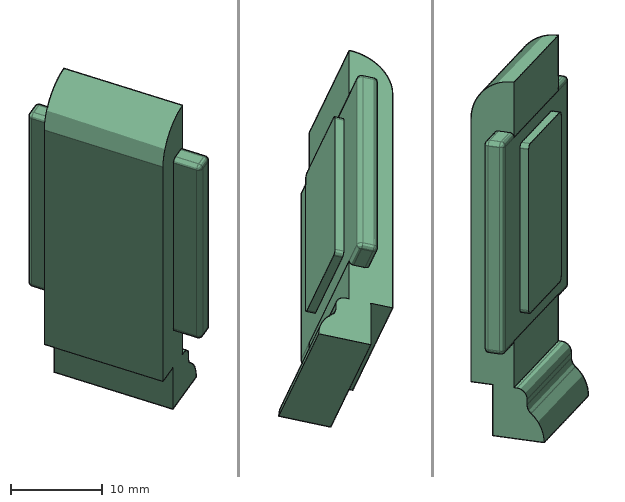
import cadquery as cq
import math


height = 42.0
moulding_width = 14.32
shaft_thickness = 5.0
foot_height = 6.0
foot_front_setback = 2.5
foot_projection = 3.5

ledge_depth = 0.35
nose_radius = 1.18
hollow_radius = 1.25
bulge_radius = 4.2

plate_width = 20.9
plate_thickness = 2.3
plate_height = 25.0
plate_bottom = 11.0
panel_width = 10.5
panel_height = 20.0
panel_thickness = 1.0
panel_bottom = 14.0
edge_radius = 0.5


def arc_point(center_y, center_z, radius, angle):
    """Point on a circle in the YZ plane, at an angle measured from +Y towards +Z."""
    return (center_y + radius * math.cos(angle), center_z + radius * math.sin(angle))


def make_insert():
    plate = (
        cq.Workplane("XY")
        .box(plate_width, plate_thickness, plate_height)
        .edges()
        .fillet(edge_radius)
        .translate((0, -plate_thickness / 2, plate_bottom + plate_height / 2))
    )
    panel_root = plate_thickness / 2
    panel_depth = panel_root + panel_thickness
    panel = (
        cq.Workplane("XY")
        .box(panel_width, panel_depth, panel_height)
        .edges("|Y")
        .fillet(edge_radius)
        .translate((0, panel_depth / 2 - panel_root, panel_bottom + panel_height / 2))
    )
    return plate.union(panel)


def make_moulding_blank():
    nose_y = ledge_depth + nose_radius
    nose_center_z = foot_height - nose_radius

    turn = math.acos(1 - (foot_projection - nose_y) / (hollow_radius + bulge_radius))
    bulge_center_y = foot_projection - bulge_radius
    hollow_center_y = nose_y + hollow_radius
    hollow_top = (hollow_radius + bulge_radius) * math.sin(turn)

    profile = (
        cq.Workplane("YZ")
        .moveTo(-shaft_thickness + foot_front_setback, 0)
        .lineTo(foot_projection, 0)
        .threePointArc(
            arc_point(bulge_center_y, 0, bulge_radius, turn / 2),
            arc_point(bulge_center_y, 0, bulge_radius, turn),
        )
        .threePointArc(
            arc_point(hollow_center_y, hollow_top, hollow_radius, math.pi + turn / 2),
            (nose_y, hollow_top),
        )
        .lineTo(nose_y, nose_center_z)
        .threePointArc(
            arc_point(ledge_depth, nose_center_z, nose_radius, math.pi / 4),
            (ledge_depth, foot_height),
        )
        .lineTo(0, foot_height)
        .lineTo(0, height)
        .threePointArc(
            arc_point(0, height - shaft_thickness, shaft_thickness, 3 * math.pi / 4),
            (-shaft_thickness, height - shaft_thickness),
        )
        .lineTo(-shaft_thickness, foot_height)
        .lineTo(-shaft_thickness + foot_front_setback, foot_height)
        .close()
    )
    return profile.extrude(moulding_width / 2, both=True)


insert = make_insert()

moulding = make_moulding_blank().cut(insert)

result = cq.Compound.makeCompound([*moulding.solids().vals(), *insert.solids().vals()])